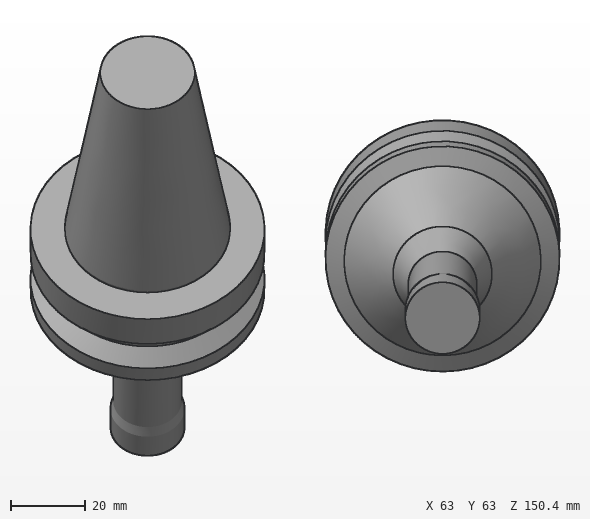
import cadquery as cq

total_height = 150.4

taper_ratio = 7 / 24
gauge_diameter = 44.5
gauge_z = 85.0

flange_diameter = 63.0
groove_diameter = 53.0
flange_top_z = 84.2
groove_upper_rim_z = 73.7
groove_floor_top_z = 70.7
groove_floor_bottom_z = 66.5
groove_lower_rim_z = 63.3
flange_bottom_z = 58.4

neck_top_diameter = 53.0
neck_top_z = 56.5
neck_waist_diameter = 26.6
neck_waist_z = 43.5

stem_diameter = 18.5
stem_top_z = 33.1
stem_bottom_z = 11.3
collar_diameter = 20.0
collar_top_z = 8.1

shank_top_diameter = gauge_diameter - taper_ratio * (total_height - gauge_z)

outline_steps = [
    (collar_diameter, 0),
    (collar_diameter, collar_top_z),
    (stem_diameter, stem_bottom_z),
    (stem_diameter, stem_top_z),
    (neck_waist_diameter, neck_waist_z),
    (neck_top_diameter, neck_top_z),
    (flange_diameter, flange_bottom_z),
    (flange_diameter, groove_lower_rim_z),
    (groove_diameter, groove_floor_bottom_z),
    (groove_diameter, groove_floor_top_z),
    (flange_diameter, groove_upper_rim_z),
    (flange_diameter, flange_top_z),
    (gauge_diameter, flange_top_z),
    (gauge_diameter, gauge_z),
    (shank_top_diameter, total_height),
]

half_outline = [(0, 0)]
half_outline += [(diameter / 2, z) for diameter, z in outline_steps]
half_outline += [(0, total_height)]

result = cq.Workplane("XZ").polyline(half_outline).close().revolve(360, (0, 0), (0, 1))